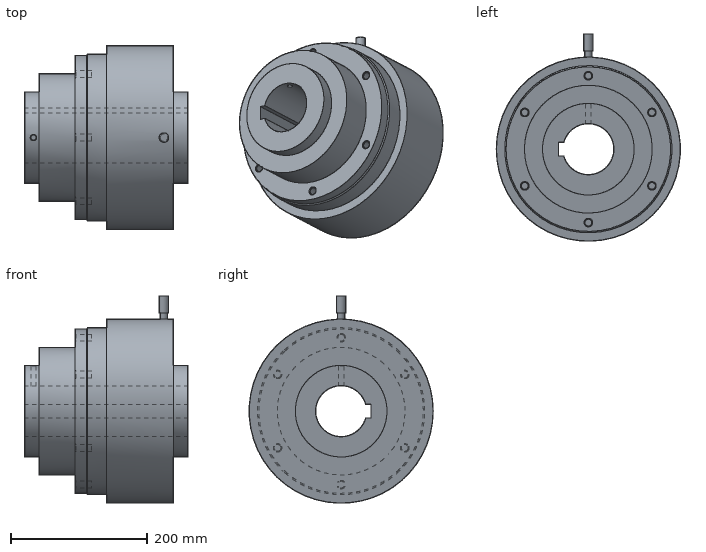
import cadquery as cq
import math

hub_length = 21.0
collar_length = 53.0
front_ring_length = 16.8
ring_bevel_length = 1.5
rear_ring_length = 28.0
drum_length = 98.0

hub_diameter = 134.7
collar_diameter = 187.8
front_ring_diameter = 241.7
rear_ring_diameter = 245.7
drum_diameter = 270.7

bore_diameter = 74.7
keyway_width = 19.8
keyway_reach = 43.5

ring_hole_count = 6
ring_hole_circle_diameter = 215.8
ring_hole_diameter = 10.0
ring_hole_mouth_diameter = 12.5
ring_hole_depth = 24.5

set_screw_x = 12.8
set_screw_diameter = 8.0
set_screw_mouth_diameter = 9.5

pin_x = 204.5
overall_height = 304.8
pin_top_z = overall_height - drum_diameter / 2
pin_head_diameter = 14.0
pin_head_length = 25.0
pin_neck_diameter = 11.0
pin_neck_embedment = 6.0

collar_x = hub_length
front_ring_x = collar_x + collar_length
ring_bevel_x = front_ring_x + front_ring_length
rear_ring_x = ring_bevel_x + ring_bevel_length
drum_x = rear_ring_x + rear_ring_length
rear_hub_x = drum_x + drum_length
total_length = rear_hub_x + hub_length


def stepped_body():
    """Solid of revolution about X made of the coaxial steps."""
    hub_radius = hub_diameter / 2
    collar_radius = collar_diameter / 2
    front_ring_radius = front_ring_diameter / 2
    rear_ring_radius = rear_ring_diameter / 2
    drum_radius = drum_diameter / 2
    profile = [
        (0, 0),
        (0, hub_radius),
        (collar_x, hub_radius),
        (collar_x, collar_radius),
        (front_ring_x, collar_radius),
        (front_ring_x, front_ring_radius),
        (ring_bevel_x, front_ring_radius),
        (rear_ring_x, rear_ring_radius),
        (drum_x, rear_ring_radius),
        (drum_x, drum_radius),
        (rear_hub_x, drum_radius),
        (rear_hub_x, hub_radius),
        (total_length, hub_radius),
        (total_length, 0),
    ]
    return cq.Workplane("XY").polyline(profile).close().revolve(360, (0, 0, 0), (1, 0, 0))


def keyed_bore():
    """Through bore with one keyway on the +Y side."""
    bore = cq.Workplane("YZ").circle(bore_diameter / 2).extrude(total_length)
    keyway = (
        cq.Workplane("YZ")
        .center(keyway_reach / 2, 0)
        .rect(keyway_reach, keyway_width)
        .extrude(total_length)
    )
    return bore.union(keyway)


def countersunk_hole(mouth, direction, diameter, mouth_diameter, depth):
    """Round hole with a 45 degree countersink at its mouth."""
    countersink_depth = (mouth_diameter - diameter) / 2
    start = cq.Vector(*mouth)
    heading = cq.Vector(*direction)
    shank = cq.Solid.makeCylinder(diameter / 2, depth, start, heading)
    countersink = cq.Solid.makeCone(
        mouth_diameter / 2, diameter / 2, countersink_depth, start, heading
    )
    return cq.Workplane(shank).union(cq.Workplane(countersink))


def ring_holes():
    """Equally spaced holes in the front ring, the first one at the top."""
    circle_radius = ring_hole_circle_diameter / 2
    holes = cq.Workplane("XY")
    for index in range(ring_hole_count):
        angle = 2 * math.pi * index / ring_hole_count
        mouth = (front_ring_x, circle_radius * math.sin(angle), circle_radius * math.cos(angle))
        holes = holes.add(
            countersunk_hole(
                mouth, (1, 0, 0), ring_hole_diameter, ring_hole_mouth_diameter, ring_hole_depth
            )
        )
    return holes.combine()


def set_screw_hole():
    """Radial hole from the top of the front hub into the bore."""
    mouth = (set_screw_x, 0, hub_diameter / 2)
    return countersunk_hole(
        mouth, (0, 0, -1), set_screw_diameter, set_screw_mouth_diameter, hub_diameter / 2
    )


def pin():
    """Headed pin standing on top of the drum."""
    head_bottom_z = pin_top_z - pin_head_length
    neck_length = head_bottom_z - drum_diameter / 2 + pin_neck_embedment
    return (
        cq.Workplane("XY", origin=(pin_x, 0, head_bottom_z))
        .circle(pin_head_diameter / 2)
        .extrude(pin_head_length)
        .faces("<Z")
        .workplane()
        .circle(pin_neck_diameter / 2)
        .extrude(neck_length)
    )


result = (
    stepped_body()
    .union(pin())
    .cut(keyed_bore())
    .cut(ring_holes())
    .cut(set_screw_hole())
)